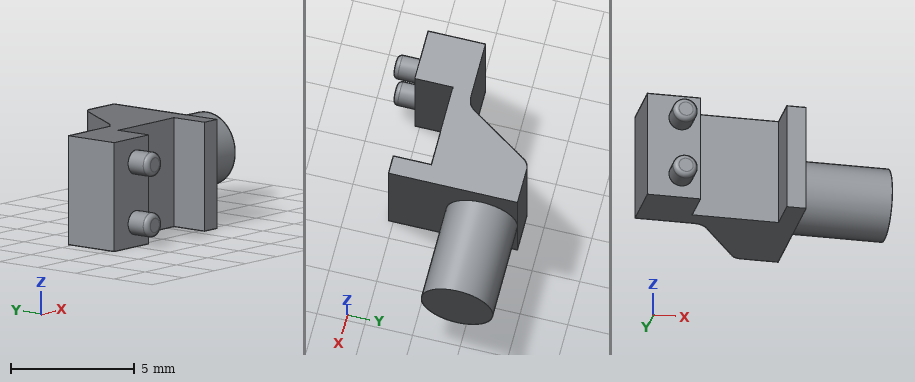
import cadquery as cq

body_length = 6.59
body_depth = 5.4
body_height = 4.5
arm_depth = 2.41

slope_start_x = 2.81
slope_end_x = 4.78
inner_blend_radius = 0.7
outer_blend_radius = 0.5

slot_start_x = 2.2
slot_end_x = 5.79
slot_depth = 1.59

overall_length = 10.7
shank_diameter = 3.0

pin_diameter = 1.0
pin_length = 1.0
pin_tip_radius = 0.2
pin_x = 1.39
pin_spacing = 2.5


def make_body():
    body = (
        cq.Workplane("XY")
        .moveTo(0, 0)
        .lineTo(slot_start_x, 0)
        .lineTo(slot_start_x, slot_depth)
        .lineTo(slot_end_x, slot_depth)
        .lineTo(slot_end_x, 0)
        .lineTo(body_length, 0)
        .lineTo(body_length, body_depth)
        .lineTo(slope_end_x, body_depth)
        .lineTo(slope_start_x, arm_depth)
        .lineTo(0, arm_depth)
        .close()
        .extrude(body_height)
    )
    blends = (
        (slope_start_x, arm_depth, inner_blend_radius),
        (slope_end_x, body_depth, outer_blend_radius),
    )
    for x, y, radius in blends:
        corner = cq.selectors.NearestToPointSelector((x, y, body_height / 2))
        body = body.edges(corner).fillet(radius)
    return body


def make_shank():
    center_y = body_depth - shank_diameter / 2
    return (
        cq.Workplane("YZ", origin=(body_length, center_y, body_height / 2))
        .circle(shank_diameter / 2)
        .extrude(overall_length - body_length)
    )


def make_pin(z):
    return (
        cq.Workplane("XZ", origin=(pin_x, 0, z))
        .circle(pin_diameter / 2)
        .extrude(pin_length)
        .faces("<Y")
        .edges()
        .fillet(pin_tip_radius)
    )


result = make_body().union(make_shank())
for side in (-1, 1):
    result = result.union(make_pin(body_height / 2 + side * pin_spacing / 2))